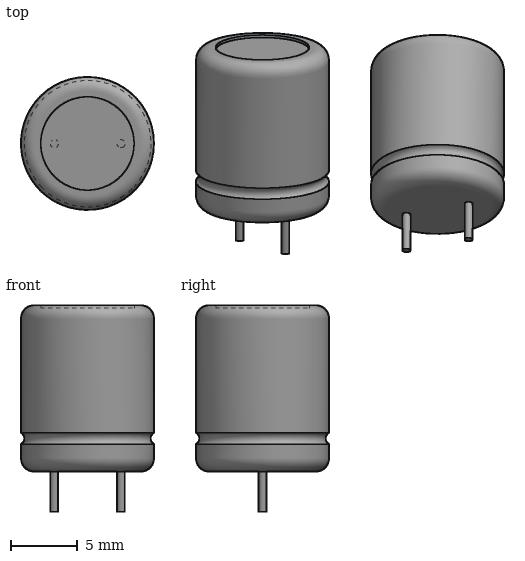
import cadquery as cq

total_height = 15.5
can_diameter = 10.0
lead_length = 3.0
lead_diameter = 0.6
lead_pitch = 5.0
edge_radius = 1.0

groove_height = 2.5
groove_radius = 0.5
groove_depth = 0.25

recess_diameter = 7.0
recess_depth = 0.2

can_radius = can_diameter / 2
can_height = total_height - lead_length


def make_can():
    """Cylinder with rounded top and bottom rims."""
    can = cq.Workplane("XY").circle(can_radius).extrude(can_height)
    return can.edges("%CIRCLE").fillet(edge_radius)


def make_groove_cutter():
    """Ring of circular section that forms the crimp around the can."""
    ring_radius = can_radius - groove_depth + groove_radius
    return (
        cq.Workplane("XZ")
        .center(ring_radius, groove_height)
        .circle(groove_radius)
        .revolve(360, (-ring_radius, 0), (-ring_radius, 1))
    )


def make_recess_cutter():
    """Shallow round pocket in the top face."""
    floor = cq.Workplane("XY").workplane(offset=can_height - recess_depth)
    return floor.circle(recess_diameter / 2).extrude(recess_depth)


def make_leads():
    """Two round leads under the can, spaced along X."""
    return (
        cq.Workplane("XY")
        .pushPoints([(-lead_pitch / 2, 0), (lead_pitch / 2, 0)])
        .circle(lead_diameter / 2)
        .extrude(-lead_length)
    )


can = make_can().cut(make_groove_cutter())
can = can.cut(make_recess_cutter())
result = can.union(make_leads())